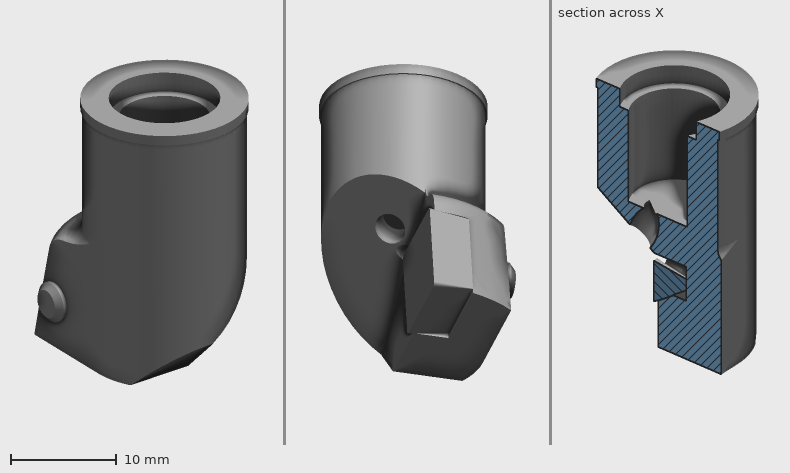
import cadquery as cq
import math


total_height = 27.0
flange_radius = 8.0
flange_height = 1.0
shank_radius = 7.8
holder_bottom = 0.08
bevel_start_x = 3.78

counterbore_radius = 5.3
counterbore_depth = 2.0
bore_radius = 4.35
bore_floor = 14.88

shoulder_top = 13.93
shoulder_fillet = 2.0
shoulder_slope = math.radians(15)
shoulder_length = 0.3
cone_taper = math.radians(10)

gullet_height = 8.65
gullet_x_slope = -0.575
gullet_y_slope = 0.66

coolant_radius = 1.5
coolant_depth = 3.4
coolant_x = -2.85
coolant_y = 2.08
coolant_tilt = math.radians(38)
coolant_heading = math.radians(-37)

insert_left = -12.9
insert_side = 9.67
insert_thickness = 3.97
insert_rake_y = 0.5
insert_corner_radius = 0.4
insert_back_radius = 0.03
insert_clearance = math.radians(7)
seat_inset = 0.3
relief_radius = 0.92
relief_x = -2.05

insert_height = insert_side * math.cos(cone_taper)
insert_lean = insert_side * math.sin(cone_taper)
nose_angle = math.pi / 2 - cone_taper
nose_x = insert_left + insert_corner_radius - insert_corner_radius / math.tan(nose_angle / 2)
insert_center_x = nose_x + (insert_side + insert_lean) / 2
insert_center_z = insert_height / 2
insert_back_y = insert_rake_y - insert_thickness
insert_back_inset = insert_thickness * math.tan(insert_clearance)

screw_radius = 2.0
screw_x = -7.02
screw_z = 4.9
screw_projection = 0.95
screw_chamfer = 0.6

cut_size = 3 * total_height


def make_shank():
    shank = cq.Workplane("XY").workplane(offset=holder_bottom).circle(shank_radius)
    shank = shank.extrude(total_height - holder_bottom)
    flange = cq.Workplane("XY").workplane(offset=total_height).circle(flange_radius)
    return shank.union(flange.extrude(-flange_height))


def arc_point(center, angle):
    return (
        center[0] + shoulder_fillet * math.cos(angle),
        center[1] + shoulder_fillet * math.sin(angle),
    )


def make_lug():
    upper_center = (shank_radius + shoulder_fillet, shoulder_top)
    upper_end_angle = 1.5 * math.pi - shoulder_slope
    upper_mid = arc_point(upper_center, (math.pi + upper_end_angle) / 2)
    upper_end = arc_point(upper_center, upper_end_angle)
    slope_end = (
        upper_end[0] + shoulder_length * math.cos(shoulder_slope),
        upper_end[1] - shoulder_length * math.sin(shoulder_slope),
    )
    lower_start_angle = math.pi / 2 - shoulder_slope
    lower_center = (
        slope_end[0] - shoulder_fillet * math.cos(lower_start_angle),
        slope_end[1] - shoulder_fillet * math.sin(lower_start_angle),
    )
    lower_mid = arc_point(lower_center, (lower_start_angle + cone_taper) / 2)
    cone_top = arc_point(lower_center, cone_taper)
    cone_bottom_radius = cone_top[0] + (cone_top[1] - holder_bottom) * math.tan(cone_taper)
    profile = (
        cq.Workplane("XZ")
        .moveTo(0, shoulder_top)
        .lineTo(shank_radius, shoulder_top)
        .threePointArc(upper_mid, upper_end)
        .lineTo(*slope_end)
        .threePointArc(lower_mid, cone_top)
        .lineTo(cone_bottom_radius, holder_bottom)
        .lineTo(0, holder_bottom)
        .close()
    )
    lug = profile.revolve(360, (0, 0, 0), (0, 1, 0))
    quarter = cq.Workplane("XY").box(cut_size, shank_radius, total_height, centered=False)
    return lug.intersect(quarter.translate((-cut_size, -shank_radius, 0)))


def make_bore():
    bore = cq.Workplane("XY").workplane(offset=total_height).circle(bore_radius)
    bore = bore.extrude(bore_floor - total_height)
    counterbore = cq.Workplane("XY").workplane(offset=total_height).circle(counterbore_radius)
    return bore.union(counterbore.extrude(-counterbore_depth))


def make_bevel_cut():
    rise = cut_size - bevel_start_x
    corners = [
        (bevel_start_x, holder_bottom),
        (cut_size, holder_bottom + rise),
        (cut_size, holder_bottom),
    ]
    return cq.Workplane("XZ").polyline(corners).close().extrude(cut_size / 2, both=True)


def gullet_z(x, y):
    return gullet_height + x * gullet_x_slope + y * gullet_y_slope


def make_gullet_cut():
    slope = cq.Plane(
        origin=(0, 0, gullet_height),
        xDir=(1, 0, gullet_x_slope),
        normal=(-gullet_x_slope, -gullet_y_slope, 1),
    )
    below_slope = cq.Workplane(slope).rect(cut_size, cut_size).extrude(-cut_size)
    positive_y = cq.Workplane("XY").box(cut_size, cut_size, cut_size, centered=(True, False, True))
    return below_slope.intersect(positive_y)


def make_coolant_hole():
    axis = cq.Vector(
        math.sin(coolant_tilt) * math.cos(coolant_heading),
        math.sin(coolant_tilt) * math.sin(coolant_heading),
        math.cos(coolant_tilt),
    )
    mouth = cq.Vector(coolant_x, coolant_y, gullet_z(coolant_x, coolant_y))
    start = mouth - axis * coolant_depth
    return cq.Workplane(cq.Solid.makeCylinder(coolant_radius, 2 * coolant_depth, start, axis))


def draw_rhombus(y, inset, reach=1):
    """Insert rhombus at depth y, its sides moved in by inset.

    A reach above 1 lengthens it towards the nose, away from the upper inner corner.
    """
    scale = 1 - 2 * inset / insert_height
    side = scale * insert_side
    lean = scale * insert_lean
    height = scale * insert_height
    inner_x = insert_center_x + (side + lean) / 2
    top_z = insert_center_z + height / 2
    corners = [
        (inner_x, top_z),
        (inner_x - reach * side, top_z),
        (inner_x - reach * (side + lean), top_z - reach * height),
        (inner_x - reach * lean, top_z - reach * height),
    ]
    return cq.Workplane("XZ", origin=(0, y, 0)).polyline(corners).close()


def draw_rounded_rhombus(y, inset, radius):
    return draw_rhombus(y, inset + radius).offset2D(radius).val()


def make_insert():
    cutting_face = draw_rounded_rhombus(insert_rake_y, 0, insert_corner_radius)
    back_face = draw_rounded_rhombus(insert_back_y, insert_back_inset, insert_back_radius)
    return cq.Workplane(cq.Solid.makeLoft([cutting_face, back_face], True))


def make_seat_opening():
    opening = draw_rhombus(insert_rake_y, seat_inset, reach=2).extrude(insert_thickness)
    relief = cq.Workplane("XZ", origin=(relief_x, insert_back_y, insert_height))
    return opening.union(relief.circle(relief_radius).extrude(-cut_size))


def make_screw():
    screw = cq.Workplane("XZ", origin=(screw_x, insert_rake_y, screw_z)).circle(screw_radius)
    screw = screw.extrude(insert_rake_y + shank_radius + screw_projection)
    return screw.faces("<Y").chamfer(screw_chamfer)


screw = make_screw()
insert_blank = make_insert()
insert = insert_blank.cut(screw)

holder = make_shank().union(make_lug())
for cutter in (
    make_bevel_cut(),
    make_gullet_cut(),
    make_bore(),
    make_coolant_hole(),
    make_seat_opening(),
    insert_blank,
    screw,
):
    holder = holder.cut(cutter)

result = cq.Compound.makeCompound([
    holder.solids().val(),
    insert.solids().val(),
    screw.solids().val(),
])